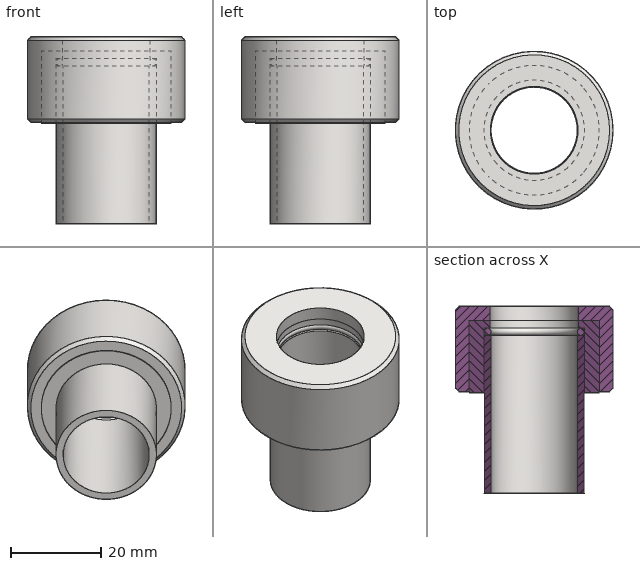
import cadquery as cq

total_height = 41.4
nut_diameter = 34.95
nut_bottom = 22.45
nut_chamfer = 0.8
nut_opening_diameter = 19.4

insert_diameter = 28.77
insert_bottom = 22.25
insert_top = 38.2

tube_diameter = 22.25
tube_bore_diameter = 19.05
tube_top = 34.95

seal_section = (tube_diameter - tube_bore_diameter) / 2

shoulder_height = tube_top + seal_section
seal_center_radius = (tube_bore_diameter + seal_section) / 2


def cylinder(diameter, bottom, top):
    """Solid cylinder on the Z axis between two heights."""
    return cq.Workplane("XY").workplane(offset=bottom).circle(diameter / 2).extrude(top - bottom)


def make_nut():
    """Chamfered outer nut with a recess for the insert and a smaller top opening."""
    body = cylinder(nut_diameter, nut_bottom, total_height).edges().chamfer(nut_chamfer)
    insert_recess = cylinder(insert_diameter, nut_bottom, insert_top)
    opening = cylinder(nut_opening_diameter, nut_bottom, total_height)
    return body.cut(insert_recess).cut(opening)


def make_insert():
    """Sleeve inside the nut, with a shoulder above the tube and the seal."""
    body = cylinder(insert_diameter, insert_bottom, insert_top)
    tube_socket = cylinder(tube_diameter, insert_bottom, shoulder_height)
    opening = cylinder(nut_opening_diameter, insert_bottom, insert_top)
    return body.cut(tube_socket).cut(opening)


def make_tube():
    """Plain tube reaching up into the insert."""
    bore = cylinder(tube_bore_diameter, 0, tube_top)
    return cylinder(tube_diameter, 0, tube_top).cut(bore)


def make_seal():
    """Round-section ring resting on the end of the tube."""
    seal_center_height = tube_top + seal_section / 2
    return (
        cq.Workplane("XZ")
        .center(seal_center_radius, seal_center_height)
        .circle(seal_section / 2)
        .revolve(360, (-seal_center_radius, 0), (-seal_center_radius, 1))
    )


nut = make_nut()
insert = make_insert()
tube = make_tube()
seal = make_seal()

result = cq.Compound.makeCompound([nut.val(), insert.val(), tube.val(), seal.val()])